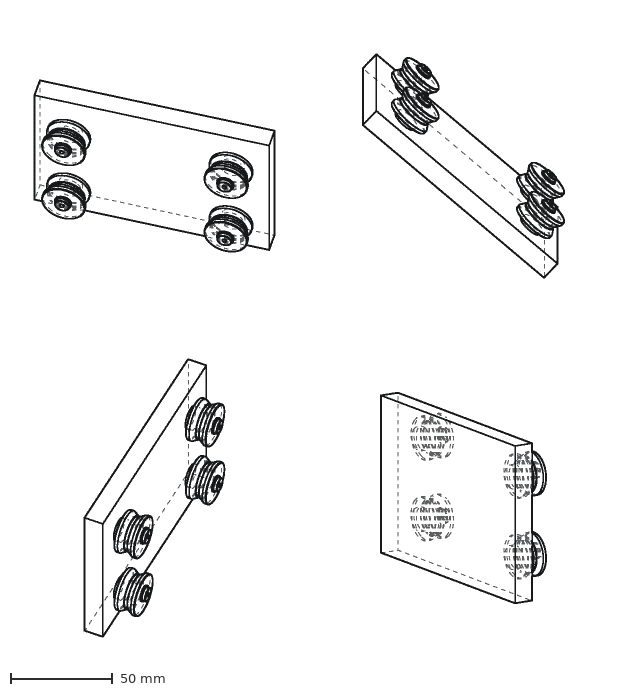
import cadquery as cq

PLATE_WIDTH = 120.0
PLATE_HEIGHT = 80.0
PLATE_THICKNESS = 10.0

AXLE_SPACING_X = 83.0
AXLE_SPACING_Z = 41.0
ECCENTRICITY = 1.5

SPACER_DIAMETER = 12.0
SPACER_LENGTH = 2.5

WHEEL_DIAMETER = 22.0
WHEEL_WIDTH = 11.0
WHEEL_CHAMFER = 0.3
GROOVE_FLOOR_DIAMETER = 17.5
GROOVE_MOUTH_WIDTH = 7.2
GROOVE_FLOOR_WIDTH = 1.8
WALL_FOOT_DIAMETER = 18.8

COLLAR_DIAMETER = 8.4
COLLAR_LENGTH = 0.8
TIP_DIAMETER = 7.2
AXLE_PROTRUSION = 16.0
TIP_CHAMFER = 0.2
CENTRE_HOLE_DIAMETER = 2.0

TIP_LENGTH = AXLE_PROTRUSION - SPACER_LENGTH - WHEEL_WIDTH - COLLAR_LENGTH
CENTRE_HOLE_DEPTH = TIP_LENGTH
PLATE_FACE_Y = -PLATE_THICKNESS


def disc(x, z, standoff, diameter, length):
    """Cylinder along -Y that starts at a distance in front of the plate face."""
    plane = cq.Plane(origin=(x, PLATE_FACE_Y - standoff, z), xDir=(1, 0, 0), normal=(0, -1, 0))
    return cq.Workplane(plane).circle(diameter / 2).extrude(length)


def make_plate():
    return cq.Workplane("XY").box(
        PLATE_WIDTH, PLATE_THICKNESS, PLATE_HEIGHT
    ).translate((0, -PLATE_THICKNESS / 2, 0))


def make_wheel(x, z):
    """Chamfered wheel with a flat-bottomed V-groove that has a square-sided channel at its floor."""
    wheel = disc(x, z, SPACER_LENGTH, WHEEL_DIAMETER, WHEEL_WIDTH).edges().chamfer(WHEEL_CHAMFER)
    middle_y = PLATE_FACE_Y - SPACER_LENGTH - WHEEL_WIDTH / 2
    rim_radius = WHEEL_DIAMETER / 2
    foot_radius = WALL_FOOT_DIAMETER / 2
    floor_radius = GROOVE_FLOOR_DIAMETER / 2
    groove = (
        cq.Workplane("XY", origin=(x, middle_y, z))
        .moveTo(rim_radius, -GROOVE_MOUTH_WIDTH / 2)
        .lineTo(foot_radius, -GROOVE_FLOOR_WIDTH / 2)
        .lineTo(floor_radius, -GROOVE_FLOOR_WIDTH / 2)
        .lineTo(floor_radius, GROOVE_FLOOR_WIDTH / 2)
        .lineTo(foot_radius, GROOVE_FLOOR_WIDTH / 2)
        .lineTo(rim_radius, GROOVE_MOUTH_WIDTH / 2)
        .close()
        .revolve(360, (0, 0, 0), (0, 1, 0))
    )
    return wheel.cut(groove)


def make_axle_end(x, z):
    """Collar and drilled tip in front of the wheel."""
    collar_start = SPACER_LENGTH + WHEEL_WIDTH
    collar = disc(x, z, collar_start, COLLAR_DIAMETER, COLLAR_LENGTH)
    tip = disc(x, z, collar_start + COLLAR_LENGTH, TIP_DIAMETER, TIP_LENGTH)
    tip = tip.faces("<Y").edges().chamfer(TIP_CHAMFER)
    hole_start = AXLE_PROTRUSION - CENTRE_HOLE_DEPTH
    hole = disc(x, z, hole_start, CENTRE_HOLE_DIAMETER, CENTRE_HOLE_DEPTH)
    return collar.union(tip).cut(hole)


def make_wheel_assembly(x, axle_z, wheel_drop):
    """Spacer and wheel share one centre; the axle end may sit above it."""
    wheel_z = axle_z - wheel_drop
    spacer = disc(x, wheel_z, 0, SPACER_DIAMETER, SPACER_LENGTH)
    return spacer.union(make_wheel(x, wheel_z)).union(make_axle_end(x, axle_z))


result = make_plate()
for side, drop in ((-1, ECCENTRICITY), (1, 0)):
    for level in (-1, 1):
        assembly = make_wheel_assembly(side * AXLE_SPACING_X / 2, level * AXLE_SPACING_Z / 2, drop)
        result = result.union(assembly)